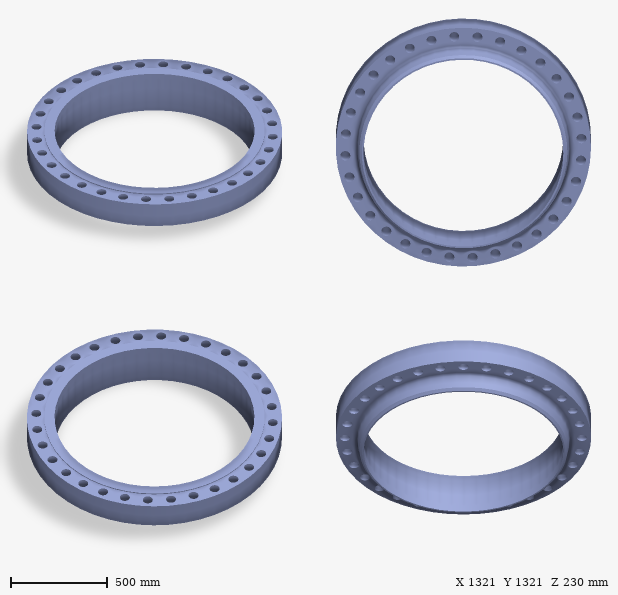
import cadquery as cq

flange_diameter = 1321.0
bore_diameter = 1034.0
total_height = 230.0
hub_height = 88.0
flange_top = 225.0

face_diameter = 1141.0

hub_top_diameter = 1107.0
hub_bottom_diameter = 1076.0
root_fillet = 13.0
weld_bevel_height = 13.0
weld_tip_diameter = 1051.0

bolt_count = 32
bolt_circle_diameter = 1226.0
bolt_hole_diameter = 52.0


def make_body():
    """Revolve the ring section (radius, height) about Z, then round the hub root."""
    section = [
        (bore_diameter / 2, 0),
        (weld_tip_diameter / 2, 0),
        (hub_bottom_diameter / 2, weld_bevel_height),
        (hub_top_diameter / 2, hub_height),
        (flange_diameter / 2, hub_height),
        (flange_diameter / 2, flange_top),
        (face_diameter / 2, flange_top),
        (face_diameter / 2, total_height),
        (bore_diameter / 2, total_height),
    ]
    body = cq.Workplane("XZ").polyline(section).close().revolve(360, (0, 0), (0, 1))
    flange_underside = body.faces(cq.selectors.NearestToPointSelector((0, 0, hub_height)))
    root_edges = flange_underside.edges(cq.selectors.RadiusNthSelector(0))
    return root_edges.fillet(root_fillet)


def make_bolt_holes():
    """Cylinders through the flange, with the first one on the +X axis."""
    return (
        cq.Workplane("XY")
        .polarArray(bolt_circle_diameter / 2, 0, 360, bolt_count)
        .circle(bolt_hole_diameter / 2)
        .extrude(total_height)
    )


result = make_body().cut(make_bolt_holes())